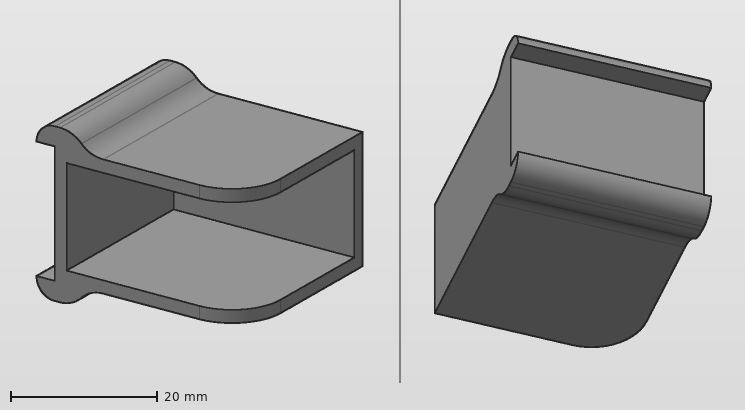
import cadquery as cq
import math

length = 35.0
depth = 28.0
height = 26.0
lip_size = 3.0
wall = 2.0
corner_radius = 8.0
blend_radius = 5.0
blend_end = 11.02

plate_top = height / 2 - lip_size
lip_top = height / 2
half_rise = lip_size / 2
half_run = math.sqrt(blend_radius**2 - (blend_radius - half_rise)**2)
blend_middle = blend_end - half_run
blend_start = blend_middle - half_run


def arc_middle(center_x, center_z, start_angle, end_angle, radius):
    """Point halfway along an arc; angles are in radians."""
    angle = (start_angle + end_angle) / 2
    return (center_x + radius * math.cos(angle), center_z + radius * math.sin(angle))


def make_upper_half():
    """Solid upper half of the profile, extruded through the full depth."""
    upright = math.pi / 2
    flank_angle = math.acos(half_run / blend_radius)
    nose_middle = arc_middle(lip_size, plate_top, math.pi, upright, lip_size)
    crest_middle = arc_middle(
        blend_start, lip_top - blend_radius, upright, flank_angle, blend_radius
    )
    hollow_middle = arc_middle(
        blend_end, plate_top + blend_radius, -upright, flank_angle - math.pi, blend_radius
    )
    return (
        cq.Workplane("XZ")
        .moveTo(lip_size, 0)
        .lineTo(lip_size, plate_top)
        .lineTo(0, plate_top)
        .threePointArc(nose_middle, (lip_size, lip_top))
        .lineTo(blend_start, lip_top)
        .threePointArc(crest_middle, (blend_middle, plate_top + half_rise))
        .threePointArc(hollow_middle, (blend_end, plate_top))
        .lineTo(length, plate_top)
        .lineTo(length, 0)
        .close()
        .extrude(-depth)
    )


upper_half = make_upper_half()
body = upper_half.union(upper_half.mirror("XY"))

pocket = cq.Workplane("XY").box(
    length - lip_size - wall,
    depth - wall,
    2 * (plate_top - wall),
    centered=(False, False, True),
).translate((lip_size + wall, 0, 0))
body = body.cut(pocket)

result = body.edges("|Z").edges(">X").edges("<Y").fillet(corner_radius)